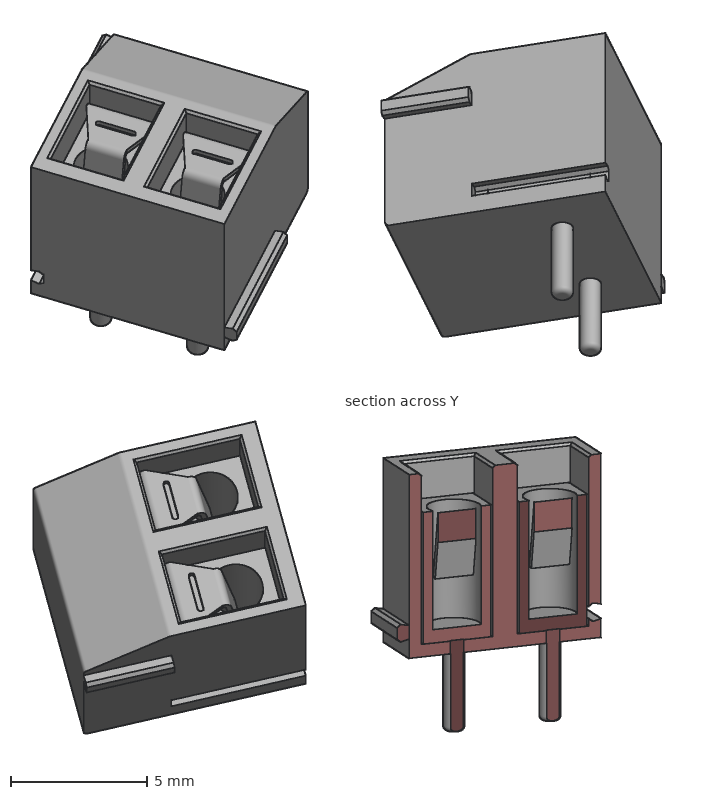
import cadquery as cq
import math


pitch = 3.81
pole_count = 2
pole_xs = [(i - (pole_count - 1) / 2) * pitch for i in range(pole_count)]
pole_y = 2.17

housing_width = pole_count * pitch
housing_depth = 8.4
housing_height = 7.0
crest_y = 5.14
roof_back_height = 5.54
crest_radius = 0.3
back_edge_radius = 0.2
side_x = housing_width / 2

wall = 0.5
pocket_width = pitch - 2 * wall
pocket_front_y = 0.72
pocket_back_y = 4.61
pocket_depth_y = pocket_back_y - pocket_front_y
pocket_mid_y = (pocket_front_y + pocket_back_y) / 2
pocket_floor_z = 0.5
pocket_chamfer = 0.1

rib_reach = 0.48
groove_depth = wall
rib_root_half = 0.27
rib_waist_half = 0.34
rib_tip_half = 0.22
rib_waist_reach = 0.33
rib_split_y = 5.08
upper_rib_z = 5.0
lower_rib_z = 1.0

block_side_gap = 0.05
block_top_z = 5.51
block_width = pocket_width - 2 * block_side_gap
hole_diameter = 2.0
hole_depth = 4.5

pin_diameter = 0.8
pin_length_below = 3.0
pin_tip_radius = 0.2

spring_thickness = 0.2
spring_top_z = 6.05
spring_width = pocket_width
spring_bend_radius = 0.31
tongue_width = 1.51
tongue_bend_y = 2.84
tongue_end_y = 2.02
tongue_angle = math.radians(80)
slot_length = 1.57
slot_width = 0.22
slot_y = 3.67


def rib_bar(root_x, direction, reach, center_z, start_y, end_y):
    """Dovetail bar along Y, reaching from root_x towards +X (direction 1) or -X (direction -1)."""
    waist_x = root_x + direction * rib_waist_reach
    tip_x = root_x + direction * reach
    return (
        cq.Workplane("XZ", origin=(0, start_y, 0))
        .moveTo(root_x, center_z - rib_root_half)
        .lineTo(waist_x, center_z - rib_waist_half)
        .lineTo(tip_x, center_z - rib_tip_half)
        .lineTo(tip_x, center_z + rib_tip_half)
        .lineTo(waist_x, center_z + rib_waist_half)
        .lineTo(root_x, center_z + rib_root_half)
        .close()
        .extrude(start_y - end_y)
    )


def housing_shell():
    """Solid prism with a sloping roof at the back and rounded back edges."""
    shell = (
        cq.Workplane("YZ", origin=(-side_x, 0, 0))
        .moveTo(0, 0)
        .lineTo(housing_depth, 0)
        .lineTo(housing_depth, roof_back_height)
        .lineTo(crest_y, housing_height)
        .lineTo(0, housing_height)
        .close()
        .extrude(housing_width)
    )
    shell = shell.faces(">Y").edges("|X").fillet(back_edge_radius)
    crest = cq.selectors.NearestToPointSelector((0, crest_y, housing_height))
    return shell.edges("|X").edges(crest).fillet(crest_radius)


def pocket(x):
    """Open-topped pocket with a chamfered mouth."""
    cavity = (
        cq.Workplane("XY", origin=(x, pocket_mid_y, pocket_floor_z))
        .rect(pocket_width, pocket_depth_y)
        .extrude(housing_height - pocket_floor_z)
    )
    mouth = (
        cq.Workplane("XY", origin=(x, pocket_mid_y, housing_height))
        .rect(pocket_width + 2 * pocket_chamfer, pocket_depth_y + 2 * pocket_chamfer)
        .workplane(offset=-pocket_chamfer)
        .rect(pocket_width, pocket_depth_y)
        .loft()
    )
    return cavity.union(mouth)


def pin_bore(x):
    """Hole through the pocket floor that the pin passes through."""
    return (
        cq.Workplane("XY", origin=(x, pole_y, 0))
        .circle(pin_diameter / 2)
        .extrude(pocket_floor_z)
    )


def make_housing():
    """Housing with its upper rib, lower groove, pockets and pin bores."""
    housing = housing_shell()
    housing = housing.union(rib_bar(-side_x, -1, rib_reach, upper_rib_z, rib_split_y, housing_depth))
    housing = housing.cut(rib_bar(-side_x, 1, groove_depth, lower_rib_z, 0, rib_split_y))
    for x in pole_xs:
        housing = housing.cut(pocket(x)).cut(pin_bore(x))
    return housing


def make_side_rib():
    """Separate dovetail bar on the +X side, matching the groove on the -X side."""
    return rib_bar(side_x, 1, rib_reach, lower_rib_z, 0, rib_split_y)


def make_block(x):
    """Contact block filling the lower part of a pocket, with a blind hole in its top."""
    return (
        cq.Workplane("XY", origin=(x, pocket_mid_y, pocket_floor_z))
        .rect(block_width, pocket_depth_y)
        .extrude(block_top_z - pocket_floor_z)
        .faces(">Z").workplane(origin=(x, pole_y, block_top_z))
        .hole(hole_diameter, hole_depth)
    )


def make_pin(x):
    """Round solder pin from the underside of the block, rounded at its lower end."""
    return (
        cq.Workplane("XY", origin=(x, pole_y, -pin_length_below))
        .circle(pin_diameter / 2)
        .extrude(pin_length_below + pocket_floor_z)
        .faces("<Z").edges().fillet(pin_tip_radius)
    )


def spring_strip(x):
    """Bent strip at full width: back leg, flat top and tongue sloping down at the front."""
    inner_radius = spring_bend_radius - spring_thickness
    bend_z = spring_top_z - spring_bend_radius
    back_bend_y = pocket_back_y - spring_bend_radius

    def back_bend_point(radius, angle):
        return (back_bend_y + radius * math.sin(angle), bend_z + radius * math.cos(angle))

    def front_bend_point(radius, angle):
        return (tongue_bend_y - radius * math.sin(angle), bend_z + radius * math.cos(angle))

    tongue_start_y, tongue_start_z = front_bend_point(spring_bend_radius, tongue_angle)
    tongue_drop = (tongue_start_y - tongue_end_y) * math.tan(tongue_angle)
    tip_y, tip_z = tongue_end_y, tongue_start_z - tongue_drop
    under_tip_y = tip_y + spring_thickness * math.sin(tongue_angle)
    under_tip_z = tip_z - spring_thickness * math.cos(tongue_angle)
    right_angle = math.pi / 2

    return (
        cq.Workplane("YZ", origin=(x - spring_width / 2, 0, 0))
        .moveTo(pocket_back_y, block_top_z)
        .lineTo(*back_bend_point(spring_bend_radius, right_angle))
        .threePointArc(
            back_bend_point(spring_bend_radius, right_angle / 2),
            back_bend_point(spring_bend_radius, 0),
        )
        .lineTo(*front_bend_point(spring_bend_radius, 0))
        .threePointArc(
            front_bend_point(spring_bend_radius, tongue_angle / 2),
            front_bend_point(spring_bend_radius, tongue_angle),
        )
        .lineTo(tip_y, tip_z)
        .lineTo(under_tip_y, under_tip_z)
        .lineTo(*front_bend_point(inner_radius, tongue_angle))
        .threePointArc(
            front_bend_point(inner_radius, tongue_angle / 2),
            front_bend_point(inner_radius, 0),
        )
        .lineTo(*back_bend_point(inner_radius, 0))
        .threePointArc(
            back_bend_point(inner_radius, right_angle / 2),
            back_bend_point(inner_radius, right_angle),
        )
        .lineTo(pocket_back_y - spring_thickness, block_top_z)
        .close()
        .extrude(spring_width)
    )


def spring_outline(x):
    """Plan outline of the spring as an upright prism: full width tapering to the tongue."""
    taper_start_y = pocket_back_y - spring_bend_radius
    half_width = spring_width / 2
    half_tongue = tongue_width / 2
    return (
        cq.Workplane("XY", origin=(x, 0, 0))
        .moveTo(-half_width, pocket_back_y)
        .lineTo(-half_width, taper_start_y)
        .lineTo(-half_tongue, tongue_bend_y)
        .lineTo(-half_tongue, 0)
        .lineTo(half_tongue, 0)
        .lineTo(half_tongue, tongue_bend_y)
        .lineTo(half_width, taper_start_y)
        .lineTo(half_width, pocket_back_y)
        .close()
        .extrude(housing_height)
    )


def make_spring(x):
    """Spring clamp: a bent, tapered strip with a slot across its flat top."""
    slot = (
        cq.Workplane("XY", origin=(x, slot_y, spring_top_z))
        .slot2D(slot_length, slot_width)
        .extrude(-spring_thickness)
    )
    return spring_strip(x).intersect(spring_outline(x)).cut(slot)


housing = make_housing()
side_rib = make_side_rib()
blocks = [make_block(x) for x in pole_xs]
pins = [make_pin(x) for x in pole_xs]
springs = [make_spring(x) for x in pole_xs]

result = cq.Compound.makeCompound([
    housing.val(),
    side_rib.val(),
    *[block.val() for block in blocks],
    *[pin.val() for pin in pins],
    *[spring.val() for spring in springs],
])